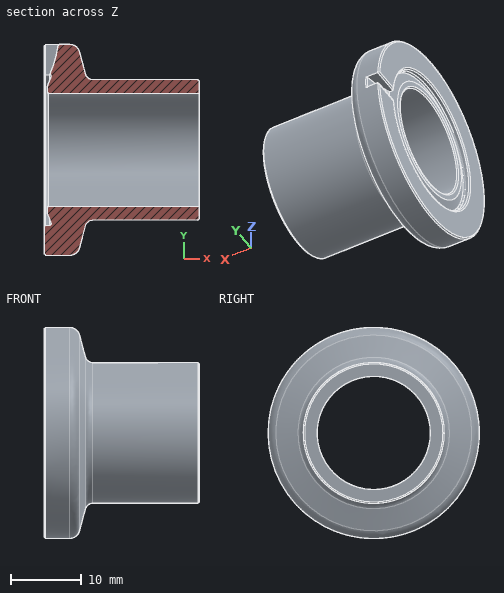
import cadquery as cq
import math

length = 22.0
flange_radius = 15.0
tube_radius = 20.0 / 2
bore_radius = 8.0
edge_chamfer = 0.2

rim_width = 3.6
rim_round = 1.5
neck_round = 1.0
cone_angle = math.radians(15)

groove_radius = 10.7
groove_depth = 1.0
groove_round = 0.25
nose_radius = 9.0
nose_depth = 0.42

slot_width = 1.98
slot_outer_depth = 1.95
slot_inner_depth = 0.78
slot_floor_sag = 0.15


def revolve_about_x(profile):
    return profile.close().revolve(360, (0, 0, 0), (1, 0, 0))


def flanged_tube():
    rim_corner = rim_width + rim_round * math.tan((math.pi / 2 - cone_angle) / 2)
    neck_corner = rim_corner + (flange_radius - tube_radius) * math.tan(cone_angle)
    body = revolve_about_x(
        cq.Workplane("XY")
        .moveTo(0, 0)
        .lineTo(0, flange_radius)
        .lineTo(rim_corner, flange_radius)
        .lineTo(neck_corner, tube_radius)
        .lineTo(length, tube_radius)
        .lineTo(length, 0)
    )
    body = body.faces("<X or >X").edges().chamfer(edge_chamfer)

    def edge_at(x):
        reach = 0.03
        half = flange_radius + reach
        low_corner = (x - reach, -half, -half)
        high_corner = (x + reach, half, half)
        return cq.selectors.BoxSelector(low_corner, high_corner, boundingbox=True)

    body = body.edges(edge_at(rim_corner)).fillet(rim_round)
    return body.edges(edge_at(neck_corner)).fillet(neck_round)


def bore_and_groove():
    return revolve_about_x(
        cq.Workplane("XY")
        .moveTo(0, 0)
        .lineTo(0, groove_radius + edge_chamfer)
        .lineTo(edge_chamfer, groove_radius)
        .lineTo(groove_depth - groove_round, groove_radius)
        .radiusArc((groove_depth, groove_radius - groove_round), groove_round)
        .lineTo(nose_depth, nose_radius)
        .lineTo(nose_depth, bore_radius + edge_chamfer)
        .lineTo(nose_depth + edge_chamfer, bore_radius)
        .lineTo(length, bore_radius)
        .lineTo(length, 0)
    )


def slot():
    inner_radius = groove_radius - groove_round
    floor_end_radius = flange_radius - edge_chamfer
    cutter_radius = flange_radius + edge_chamfer
    half_width = slot_width / 2
    middle = (
        (slot_inner_depth + slot_outer_depth) / 2 + slot_floor_sag,
        (groove_radius + floor_end_radius) / 2,
    )
    channel = (
        cq.Workplane("XY")
        .moveTo(0, inner_radius)
        .lineTo(slot_inner_depth, inner_radius)
        .lineTo(slot_inner_depth, groove_radius)
        .threePointArc(middle, (slot_outer_depth, floor_end_radius))
        .lineTo(slot_outer_depth + 2 * edge_chamfer, cutter_radius)
        .lineTo(0, cutter_radius)
        .close()
        .extrude(half_width, both=True)
    )
    bevel = (
        cq.Workplane("XZ", origin=(0, inner_radius, 0))
        .polyline([
            (0, -half_width - edge_chamfer),
            (edge_chamfer, -half_width),
            (edge_chamfer, half_width),
            (0, half_width + edge_chamfer),
        ])
        .close()
        .extrude(inner_radius - cutter_radius)
    )
    return channel.union(bevel)


result = flanged_tube().cut(bore_and_groove()).cut(slot())